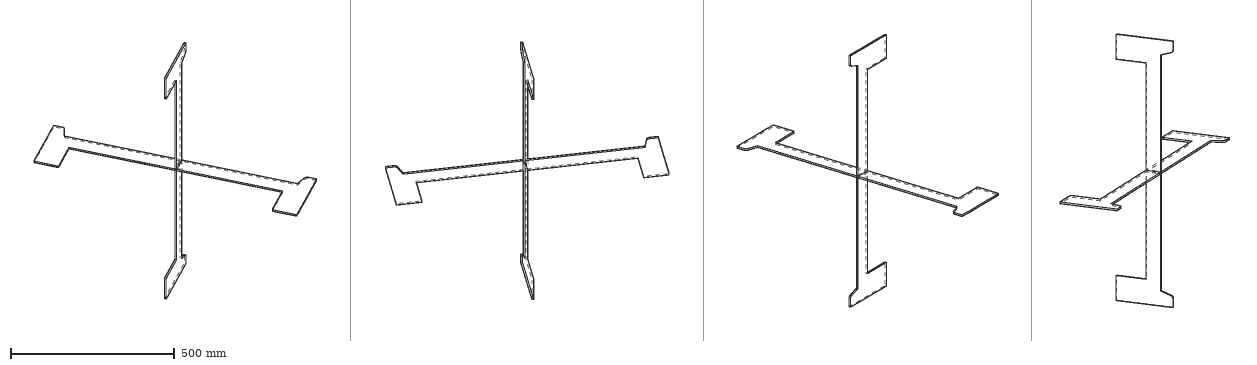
import cadquery as cq

length = 850.0
depth = 191.0
thickness = 6.0
foot_width = 80.0
foot_depth = 100.0
strap_depth = 50.0
horn_base_width = 48.5
horn_tip_width = 35.0
horn_radius = 10.0
corner_radius = 2.0

front_y = -depth / 2
back_y = depth / 2
strap_front_y = front_y + foot_depth
strap_back_y = strap_front_y + strap_depth
strap_middle_y = (strap_front_y + strap_back_y) / 2

half_length = length / 2
half_thickness = thickness / 2


def round_edges(plate, positions, radius):
    """Round the upright edges that stand at the given (x, y) positions."""
    for x, y in positions:
        plate = plate.edges(cq.NearestToPointSelector((x, y, 0))).fillet(radius)
    return plate


def make_blank():
    """Flat plate in the XY plane: a strap with a foot and a tapered horn at each end."""
    right_half = [
        (half_length - foot_width, strap_front_y),
        (half_length - foot_width, front_y),
        (half_length, front_y),
        (half_length, back_y),
        (half_length - horn_tip_width, back_y),
        (half_length - horn_base_width, strap_back_y),
    ]
    left_half = [(-x, y) for x, y in reversed(right_half)]
    plate = (
        cq.Workplane("XY")
        .polyline(right_half + left_half)
        .close()
        .extrude(half_thickness, both=True)
    )
    horn_tips = [(side * (half_length - horn_tip_width), back_y) for side in (-1, 1)]
    outer_corners = [(side * half_length, y) for side in (-1, 1) for y in (front_y, back_y)]
    inner_corners = [(side * (half_length - foot_width), front_y) for side in (-1, 1)]
    plate = round_edges(plate, horn_tips, horn_radius)
    return round_edges(plate, outer_corners + inner_corners, corner_radius)


def make_slot(start_y, end_y):
    """Halving slot at mid-length, as wide as the crossing plate is thick."""
    return cq.Workplane("XY").box(thickness, end_y - start_y, thickness).translate(
        (0, (start_y + end_y) / 2, 0)
    )


horizontal_plate = make_blank().cut(make_slot(strap_middle_y, strap_back_y))
vertical_plate = make_blank().cut(make_slot(strap_front_y, strap_middle_y))
vertical_plate = vertical_plate.rotate((0, 0, 0), (0, 1, 0), 90)

result = cq.Compound.makeCompound([horizontal_plate.solids().val(), vertical_plate.solids().val()])